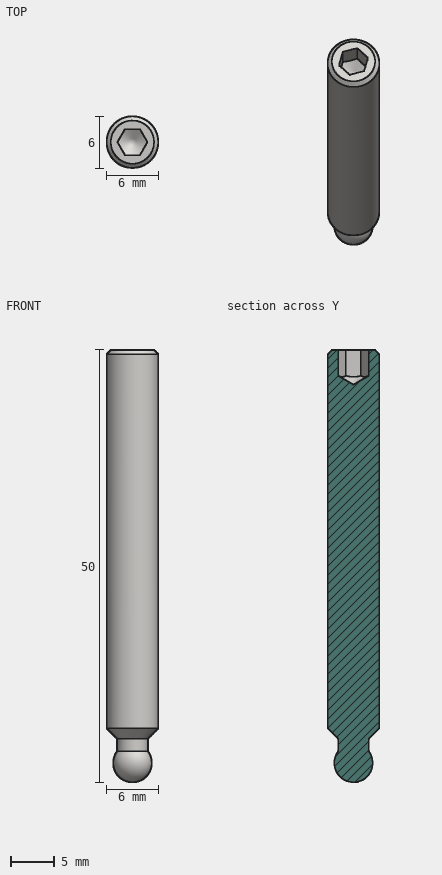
import cadquery as cq
import math

length = 50.0
body_radius = 6.0 / 2
top_chamfer = 0.5

ball_radius = 4.5 / 2
neck_radius = 3.6 / 2
shoulder_z = 6.25
shoulder_height = body_radius - neck_radius
neck_top_z = shoulder_z - shoulder_height
neck_bottom_z = ball_radius + math.sqrt(ball_radius**2 - neck_radius**2)

socket_across_flats = 3.0
socket_corner_radius = socket_across_flats / math.sqrt(3)
socket_depth = 3.0
floor_point_angle = 120.0
floor_cone_height = socket_corner_radius / math.tan(math.radians(floor_point_angle / 2))


def pin_body():
    """Revolve the half profile: ball, neck, shoulder cone and chamfered shank."""
    profile = (
        cq.Workplane("XZ")
        .moveTo(0, 0)
        .threePointArc((ball_radius, ball_radius), (neck_radius, neck_bottom_z))
        .lineTo(neck_radius, neck_top_z)
        .lineTo(body_radius, shoulder_z)
        .lineTo(body_radius, length - top_chamfer)
        .lineTo(body_radius - top_chamfer, length)
        .lineTo(0, length)
        .close()
    )
    return profile.revolve(360, (0, 0, 0), (0, 1, 0))


def hex_socket():
    """Hexagonal prism with corners on X, its lower end trimmed to a cone."""
    total_depth = socket_depth + floor_cone_height
    prism = (
        cq.Workplane("XY", origin=(0, 0, length - total_depth))
        .polygon(6, 2 * socket_corner_radius)
        .extrude(total_depth)
    )
    drill = (
        cq.Workplane("XZ")
        .moveTo(0, length - total_depth)
        .lineTo(socket_corner_radius, length - socket_depth)
        .lineTo(socket_corner_radius, length)
        .lineTo(0, length)
        .close()
        .revolve(360, (0, 0, 0), (0, 1, 0))
    )
    return prism.intersect(drill)


result = pin_body().cut(hex_socket())